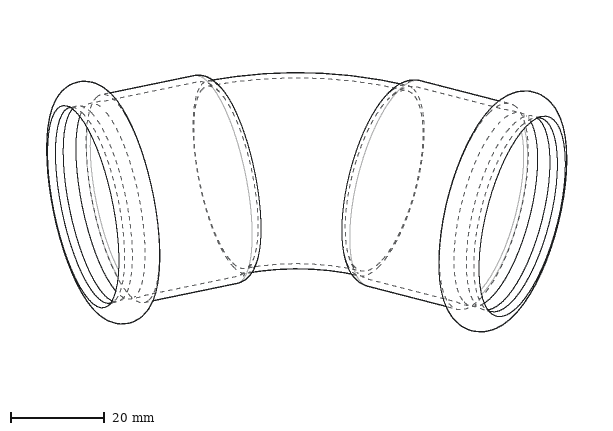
import cadquery as cq
import math

bend_angle = 45.0
leg_length = 50.7
socket_length = 33.0

socket_outer_r = 45.4 / 2
socket_bore_r = 42.4 / 2
wall = socket_outer_r - socket_bore_r
tube_outer_r = 41.9 / 2
tube_bore_r = 39.7 / 2
shoulder_outer_r = 2.9
shoulder_inner_r = 2.3
pipe_stop_depth = 30.4

bead_outer_r = 52.7 / 2
bead_round_r = 4.5
bead_center_r = bead_outer_r - bead_round_r

lip_r = 44.0 / 2
mouth_bore_r = 42.7 / 2
lip_depth = 1.5
seal_start = 3.3
seal_end = 6.2
seal_bulge = 0.4
mouth_bore_depth = 8.6
mouth_depth = 9.4

tube_leg = leg_length - socket_length
bend_leg = tube_leg + wall
bend_r = bend_leg / math.tan(math.radians(bend_angle / 2))


def bend(radius):
    """Round bar following the bend between the two sockets."""
    return (
        cq.Workplane("YZ", origin=(bend_leg, 0, 0))
        .circle(radius)
        .revolve(bend_angle, (-bend_r, 0, 0), (-bend_r, 1, 0))
    )


def ring_solid(profile):
    """Turn a half profile about the X axis."""
    return profile.close().revolve(360, (0, 0, 0), (1, 0, 0))


def socket_body():
    """Socket with rounded shoulder and rolled rim, before boring."""
    shoulder_x = tube_leg + shoulder_outer_r
    sleeve = ring_solid(
        cq.Workplane("XY")
        .moveTo(tube_leg, 0)
        .lineTo(tube_leg, socket_outer_r - shoulder_outer_r)
        .radiusArc((shoulder_x, socket_outer_r), shoulder_outer_r)
        .lineTo(leg_length - bead_round_r, socket_outer_r)
        .lineTo(leg_length - bead_round_r, 0)
    )
    rim = ring_solid(
        cq.Workplane("XY")
        .moveTo(leg_length - 2 * bead_round_r, 0)
        .lineTo(leg_length - 2 * bead_round_r, bead_center_r)
        .threePointArc((leg_length - bead_round_r, bead_outer_r), (leg_length, bead_center_r))
        .lineTo(leg_length, 0)
    )
    return sleeve.union(rim)


def socket_bore():
    """Stepped hollow of the socket, from the rounded pipe stop to the mouth."""
    stop_x = leg_length - pipe_stop_depth
    stop_drop = socket_bore_r - tube_bore_r
    stop_run = math.sqrt(shoulder_inner_r**2 - (shoulder_inner_r - stop_drop) ** 2)
    return ring_solid(
        cq.Workplane("XY")
        .moveTo(stop_x - stop_run, 0)
        .lineTo(stop_x - stop_run, tube_bore_r)
        .radiusArc((stop_x, socket_bore_r), shoulder_inner_r)
        .lineTo(leg_length - mouth_depth, socket_bore_r)
        .lineTo(leg_length - mouth_bore_depth, mouth_bore_r)
        .lineTo(leg_length - seal_end, mouth_bore_r)
        .sagittaArc((leg_length - seal_start, mouth_bore_r), -seal_bulge)
        .lineTo(leg_length - lip_depth, mouth_bore_r)
        .lineTo(leg_length, lip_r)
        .lineTo(leg_length, 0)
    )


def other_end(shape):
    """Mirror image of a shape across the plane that bisects the bend."""
    return shape.mirror("YZ").rotate((0, 0, 0), (0, 0, 1), bend_angle)


socket = socket_body()
bore = socket_bore()
body = bend(tube_outer_r).union(socket).union(other_end(socket))
result = body.cut(bend(tube_bore_r)).cut(bore).cut(other_end(bore))